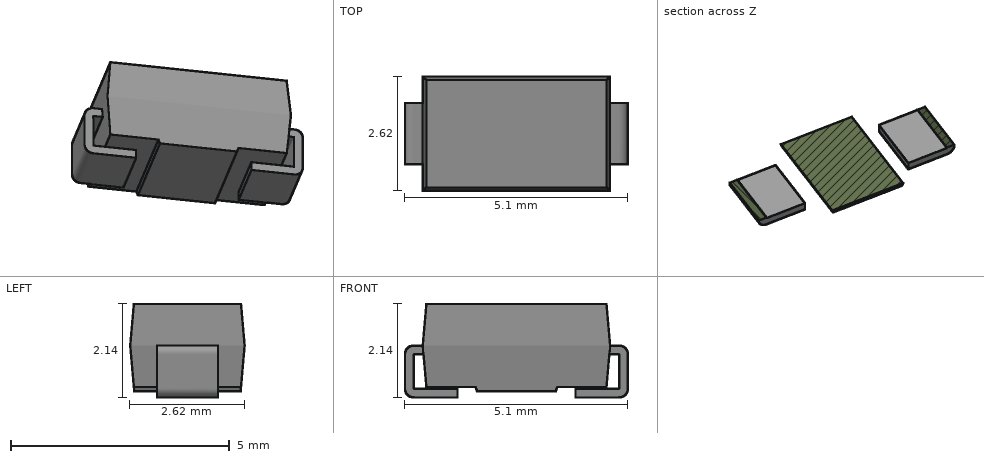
import cadquery as cq
import math

overall_length = 5.1
overall_height = 2.14

housing_length = 4.29
housing_width = 2.62
half_height = 0.955
draft_angle = 5.0
parting_height = overall_height - half_height
housing_bottom = parting_height - half_height
draft_inset = half_height * math.tan(math.radians(draft_angle))

pad_length = 1.87
pad_drop = 0.09
pad_end_inset = 0.035

lead_width = 1.4
lead_thickness = 0.205
foot_length = 1.205
outer_bend_radius = 0.2
inner_bend_radius = 0.015


def make_drafted_block(direction, height):
    """Drafted block growing up (+1) or down (-1) from the parting plane."""
    return (
        cq.Workplane("XY")
        .workplane(offset=parting_height)
        .rect(housing_length, housing_width)
        .extrude(direction * height, taper=draft_angle)
    )


def make_standoff_pad():
    """Pad under the housing with sloped ends; its sides continue the housing draft."""
    top_x = pad_length / 2
    bottom_x = top_x - pad_end_inset
    pad_bottom = housing_bottom - pad_drop
    profile = (
        cq.Workplane("XZ")
        .polyline([
            (-top_x, housing_bottom),
            (top_x, housing_bottom),
            (bottom_x, pad_bottom),
            (-bottom_x, pad_bottom),
        ])
        .close()
        .extrude(housing_width / 2, both=True)
    )
    return profile.intersect(make_drafted_block(-1, half_height + pad_drop))


def make_housing():
    upper_half = make_drafted_block(1, half_height)
    lower_half = make_drafted_block(-1, half_height)
    return upper_half.union(lower_half).union(make_standoff_pad())


def make_lead(side, housing):
    """C-shaped lead at the -X (-1) or +X (+1) end, its upper arm ending on the housing face."""
    outer_x = side * overall_length / 2
    inner_x = outer_x - side * lead_thickness
    foot_x = outer_x - side * foot_length
    arm_x = side * (housing_length / 2 - draft_inset)
    arm_underside = parting_height - lead_thickness
    strip = (
        cq.Workplane("XZ")
        .polyline([
            (arm_x, parting_height),
            (outer_x, parting_height),
            (outer_x, 0),
            (foot_x, 0),
            (foot_x, lead_thickness),
            (inner_x, lead_thickness),
            (inner_x, arm_underside),
            (arm_x, arm_underside),
        ])
        .close()
        .extrude(lead_width / 2, both=True)
    )
    outward = ">X" if side > 0 else "<X"
    strip = strip.faces(outward).edges("|Y").fillet(outer_bend_radius)
    wall_margin = lead_thickness / 4
    inner_wall = cq.selectors.BoxSelector(
        (inner_x - wall_margin, -lead_width, lead_thickness - wall_margin),
        (inner_x + wall_margin, lead_width, arm_underside + wall_margin),
    )
    strip = strip.edges("|Y").edges(inner_wall).fillet(inner_bend_radius)
    return strip.cut(housing)


housing = make_housing()
leads = [make_lead(side, housing) for side in (-1, 1)]

result = cq.Compound.makeCompound([housing.solids().val(), *[lead.solids().val() for lead in leads]])